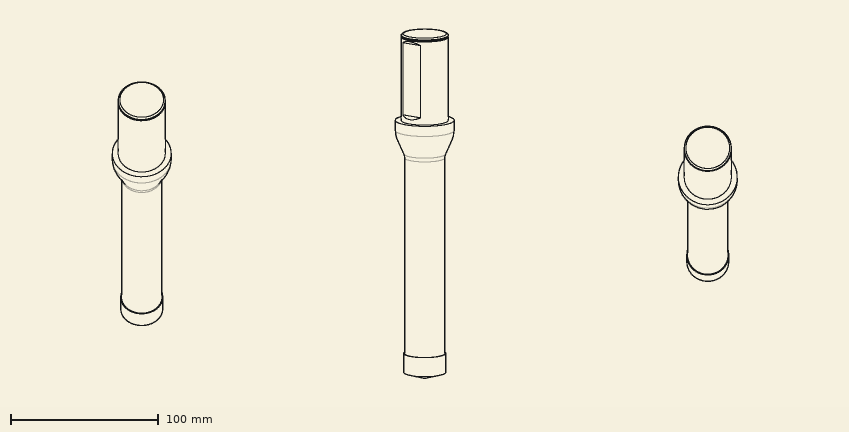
import cadquery as cq
import math

shank_diameter = 31.99
shank_length = 60.0
shank_chamfer_width = 1.2
shank_chamfer_height = 1.0

groove_depth = 0.3
groove_upper_height = 0.7
groove_lower_height = 0.5
groove_top_offset = 1.2

flat_depth = 2.0
flat_end_margin = 3.0

collar_diameter = 40.0
collar_height = 7.0

taper_length = 19.0
taper_angle = math.radians(25.0)
shoulder_height = 5.6
shoulder_radius_loss = 1.05
neck_radius = 6.5

body_diameter = 27.4
holder_length = 161.5

head_diameter = 28.58
head_length = 17.5
tip_height = 4.3

shank_radius = shank_diameter / 2
collar_radius = collar_diameter / 2
body_radius = body_diameter / 2
head_radius = head_diameter / 2
head_cylinder_length = head_length - tip_height


def make_holder():
    """Shank, collar, taper and long body, turned as one profile."""
    taper_top = -collar_height
    taper_bottom = taper_top - taper_length

    neck_start = (
        body_radius + neck_radius * (1 - math.cos(taper_angle)),
        taper_bottom + neck_radius * math.sin(taper_angle),
    )
    neck_middle = (
        body_radius + neck_radius * (1 - math.cos(taper_angle / 2)),
        taper_bottom + neck_radius * math.sin(taper_angle / 2),
    )
    shoulder_point = (collar_radius - shoulder_radius_loss, taper_top - shoulder_height)
    axial_direction = (0, -1)
    taper_direction = (-math.sin(taper_angle), -math.cos(taper_angle))

    groove_top = shank_length - groove_top_offset
    groove_middle = groove_top - groove_upper_height
    groove_bottom = groove_middle - groove_lower_height

    profile = (
        cq.Workplane("XZ")
        .moveTo(0, shank_length)
        .lineTo(shank_radius - shank_chamfer_width, shank_length)
        .lineTo(shank_radius, shank_length - shank_chamfer_height)
        .lineTo(shank_radius, groove_top)
        .lineTo(shank_radius - groove_depth, groove_middle)
        .lineTo(shank_radius, groove_bottom)
        .lineTo(shank_radius, 0)
        .lineTo(collar_radius, 0)
        .lineTo(collar_radius, taper_top)
        .spline(
            [shoulder_point, neck_start],
            tangents=[axial_direction, taper_direction],
            includeCurrent=True,
        )
        .threePointArc(neck_middle, (body_radius, taper_bottom))
        .lineTo(body_radius, -holder_length)
        .lineTo(0, -holder_length)
        .close()
    )
    return profile.revolve(360, (0, 0, 0), (0, 1, 0)).cut(make_clamping_flat())


def make_clamping_flat():
    """Cutter for the flat on the shank's +Y side, with 45-degree run-outs at both ends."""
    outer_y = shank_radius
    floor_y = shank_radius - flat_depth
    lower_z = flat_end_margin
    upper_z = shank_length - flat_end_margin
    return (
        cq.Workplane("YZ")
        .moveTo(outer_y, lower_z)
        .lineTo(floor_y, lower_z + flat_depth)
        .lineTo(floor_y, upper_z - flat_depth)
        .lineTo(outer_y, upper_z)
        .close()
        .extrude(shank_radius, both=True)
    )


def make_cutting_head():
    """Cylindrical drill head with a shallow conical tip, seated on the holder's lower end."""
    seat_z = -holder_length
    profile = (
        cq.Workplane("XZ")
        .moveTo(0, seat_z)
        .lineTo(head_radius, seat_z)
        .lineTo(head_radius, seat_z - head_cylinder_length)
        .lineTo(0, seat_z - head_length)
        .close()
    )
    return profile.revolve(360, (0, 0, 0), (0, 1, 0))


holder = make_holder()
cutting_head = make_cutting_head()

result = cq.Compound.makeCompound([holder.val(), cutting_head.val()])